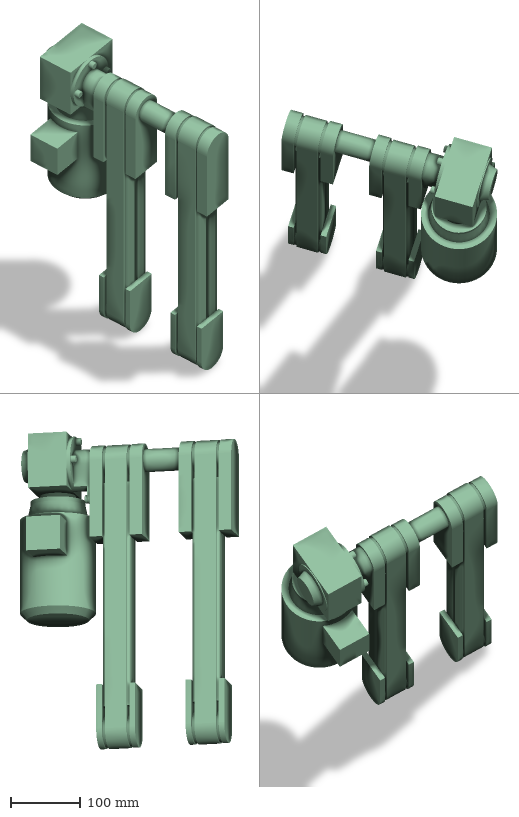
import cadquery as cq

overall_depth = 151.0

gearbox_length = 57.0
gearbox_half_height = 40.0
gearbox_front = -40.0
gearbox_back = 56.5
cover_radius = 37.5
cover_thickness = 1.5
cap_length = 12.5
cap_base_radius = 27.5
cap_tip_radius = 22.8

motor_x = -gearbox_length / 2
motor_y = 29.5
motor_diameter = 110.0
motor_radius = motor_diameter / 2
motor_top = -75.2
motor_bottom = -223.5
motor_chamfer = 9.8
neck_radius = 26.5
neck_bottom = -48.5
adapter_rim_radius = 40.0
adapter_rim_bottom = -54.5
adapter_base_radius = 44.5
terminal_box_size = 50.0
terminal_box_top = -89.0
terminal_box_front = motor_y + motor_radius - overall_depth

conveyor_spacing = 133.0
axis_distance = 399.5
block_radius = 25.0
block_gap = 41.0
head_block_width = 18.5
head_block_drop = 114.3
tail_block_width = 8.5
tail_block_rise = 65.5
belt_width = 32.0
belt_radius = block_radius
belt_offset = 1.5
pulley_radius = 22.8
beam_width = block_gap
beam_corner_radius = 4.5
beam_top = -34.5
beam_bottom = -axis_distance + 33.5
slot_width = 8.5
slot_depth = 5.0
shaft_radius = 16.5

flange_radius = gearbox_half_height
flange_thickness = 5.5
arm_end = 30.5
arm_plate_thickness = 5.5
arm_boss_radius = 20.5
arm_slope = 0.13
arm_bottom = -60.5
arm_corner_radius = 7.0
flange_screw_circle = 33.0
flange_screw_diameter = 10.5
flange_screw_height = 7.5
arm_screw_diameter = 12.0
arm_screw_height = 6.0
arm_screw_z = -53.0
screw_chamfer = 1.0

first_conveyor_x = arm_end + head_block_width + block_gap / 2
arm_slope_cosine = (1 - arm_slope**2) ** 0.5


def rod_x(radius, x_start, x_end, y=0.0, z=0.0):
    """Cylinder along X."""
    plane = cq.Plane(origin=(x_start, y, z), xDir=(0, 0, 1), normal=(1, 0, 0))
    return cq.Workplane(plane).circle(radius).extrude(x_end - x_start)


def box_between(x_start, x_end, y_start, y_end, z_start, z_end):
    return cq.Workplane("XY").box(
        x_end - x_start, y_end - y_start, z_end - z_start, centered=False
    ).translate((x_start, y_start, z_start))


def gearbox():
    housing = box_between(
        -gearbox_length, 0, gearbox_front, gearbox_back, -gearbox_half_height, gearbox_half_height
    )
    cover_face = -gearbox_length - cover_thickness
    cover = rod_x(cover_radius, cover_face, -gearbox_length)
    cap = (
        cq.Workplane("YZ", origin=(cover_face, 0, 0))
        .circle(cap_base_radius)
        .workplane(offset=-cap_length)
        .circle(cap_tip_radius)
        .loft()
    )
    return housing.union(cover).union(cap)


def motor():
    profile = [
        (0, -gearbox_half_height),
        (neck_radius, -gearbox_half_height),
        (neck_radius, neck_bottom),
        (adapter_rim_radius, neck_bottom),
        (adapter_rim_radius, adapter_rim_bottom),
        (adapter_base_radius, motor_top),
        (motor_radius, motor_top),
        (motor_radius, motor_bottom + motor_chamfer),
        (motor_radius - motor_chamfer, motor_bottom),
        (0, motor_bottom),
    ]
    turned = cq.Workplane("XZ").polyline(profile).close().revolve(360, (0, 0, 0), (0, 1, 0))
    return turned.translate((motor_x, motor_y, 0))


def terminal_box():
    return box_between(
        motor_x - terminal_box_size / 2,
        motor_x + terminal_box_size / 2,
        terminal_box_front,
        motor_y,
        terminal_box_top - terminal_box_size,
        terminal_box_top,
    )


def gearmotor():
    return gearbox().union(motor()).union(terminal_box())


def screw_head(diameter, height):
    """Screw head standing on X = 0 and pointing to +X."""
    return rod_x(diameter / 2, 0, height).faces(">X").chamfer(screw_chamfer)


def torque_arm():
    """Round boss around the shaft with sides that taper down to a bolted plate."""
    boss = rod_x(arm_boss_radius, 0, arm_end)
    tangent_y = arm_boss_radius * arm_slope_cosine
    tangent_z = -arm_boss_radius * arm_slope
    bottom_y = (arm_boss_radius + arm_bottom * arm_slope) / arm_slope_cosine
    web = (
        cq.Workplane("YZ")
        .polyline([
            (-tangent_y, tangent_z),
            (tangent_y, tangent_z),
            (bottom_y, arm_bottom),
            (-bottom_y, arm_bottom),
        ])
        .close()
        .extrude(arm_end)
        .edges("|X and <Z")
        .fillet(arm_corner_radius)
    )
    plate_start = arm_end - arm_plate_thickness
    thick_part = web.intersect(rod_x(flange_radius, 0, plate_start))
    plate = web.intersect(
        box_between(plate_start, arm_end, -flange_radius, flange_radius, arm_bottom, 0)
    )
    arm_screw = (
        screw_head(arm_screw_diameter, arm_screw_height)
        .rotate((0, 0, 0), (0, 0, 1), 180)
        .translate((plate_start, 0, arm_screw_z))
    )
    return boss.union(thick_part).union(plate).union(arm_screw)


def flange():
    """Round flange with four screws; the lowest one is buried in the torque arm."""
    body = rod_x(flange_radius, 0, flange_thickness)
    screw = screw_head(flange_screw_diameter, flange_screw_height)
    screw = screw.translate((flange_thickness, 0, flange_screw_circle))
    for angle in (-90, 0, 90):
        body = body.union(screw.rotate((0, 0, 0), (1, 0, 0), angle))
    return body


def bearing_block(x_start, width, axis_z, free_end_z):
    """Plate with one end rounded about the pulley axis."""
    rounded = rod_x(block_radius, x_start, x_start + width, z=axis_z)
    straight = box_between(
        x_start,
        x_start + width,
        -block_radius,
        block_radius,
        min(axis_z, free_end_z),
        max(axis_z, free_end_z),
    )
    return rounded.union(straight)


def beam():
    """Upright with rounded corners and a slot in each outer side."""
    length = beam_top - beam_bottom
    section = (
        cq.Workplane("XY", origin=(0, 0, beam_bottom))
        .rect(beam_width, beam_width)
        .extrude(length)
        .edges("|Z")
        .fillet(beam_corner_radius)
    )
    slots = (
        cq.Workplane("XY", origin=(0, 0, beam_bottom))
        .pushPoints([(-beam_width / 2, 0), (beam_width / 2, 0)])
        .rect(2 * slot_depth, slot_width)
        .extrude(length)
    )
    return section.cut(slots)


def belt():
    """Solid belt run that is rounded about both pulley axes."""
    half_width = belt_width / 2
    run = box_between(
        -half_width,
        half_width,
        belt_offset - belt_radius,
        belt_offset + belt_radius,
        -axis_distance,
        0,
    )
    for axis_z in (0, -axis_distance):
        run = run.union(rod_x(belt_radius, -half_width, half_width, y=belt_offset, z=axis_z))
    return run


def conveyor():
    """One belt conveyor centred on X = 0."""
    body = beam().union(belt())
    for axis_z in (0, -axis_distance):
        body = body.union(
            rod_x(pulley_radius, -block_gap / 2, block_gap / 2, y=belt_offset, z=axis_z)
        )
    tail_free_end = -axis_distance + tail_block_rise
    for axis_z, width, free_end_z in (
        (0, head_block_width, -head_block_drop),
        (-axis_distance, tail_block_width, tail_free_end),
    ):
        for x_start in (-block_gap / 2 - width, block_gap / 2):
            body = body.union(bearing_block(x_start, width, axis_z, free_end_z))
    return body


def twin_conveyor():
    body = flange().union(torque_arm())
    second_conveyor_x = first_conveyor_x + conveyor_spacing
    body = body.union(rod_x(shaft_radius, first_conveyor_x, second_conveyor_x))
    for x in (first_conveyor_x, second_conveyor_x):
        body = body.union(conveyor().translate((x, 0, 0)))
    return body


result = cq.Compound.makeCompound([gearmotor().solids().val(), twin_conveyor().solids().val()])